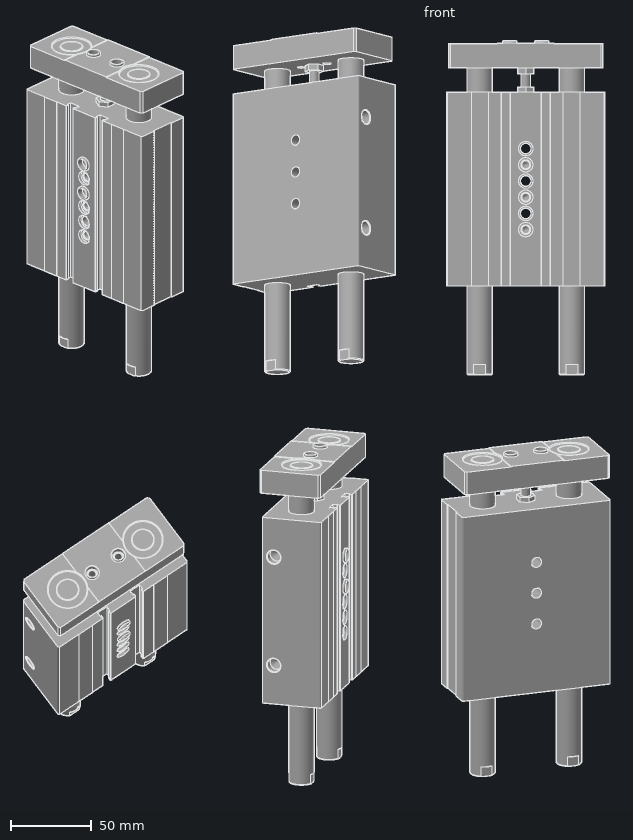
import cadquery as cq
import math


HOUSING_BOTTOM = 55.0
HOUSING_HEIGHT = 120.0
HOUSING_TOP = HOUSING_BOTTOM + HOUSING_HEIGHT
PLATE_GAP = 15.1
PLATE_BOTTOM = HOUSING_TOP + PLATE_GAP
SLEEVE_STANDOUT = 1.5
PLATE_TOP = 207 - SLEEVE_STANDOUT
PLATE_RAISE = 0.5
PLATE_SIDE_TOP = PLATE_TOP - PLATE_RAISE

HOUSING_WIDTH = 98.0
HOUSING_FRONT = -19.2
HOUSING_BACK = 19.2
HOUSING_DEPTH = HOUSING_BACK - HOUSING_FRONT
HOUSING_CORNER_RADIUS = 1.2
STRIP_INNER_X = 23.2
STRIP_OUTER_X = 33.5
STRIP_RAISE = 0.1
BAND_FRONT = HOUSING_FRONT + STRIP_RAISE
SIDE_GROOVE_WIDTH = 15.5
SIDE_GROOVE_DEPTH = 0.6

SLOT_X = 12.5
SLOT_OPENING = 5.4
SLOT_INNER_WIDTH = 7.0
SLOT_LIP = 2.0
SLOT_DEPTH = 5.0
SLOT_CHAMFER = 0.5

HOLE_COUNT = 6
HOLE_PITCH = 10.03
THREAD_DIAMETER = 5.0
THREAD_MOUTH_DIAMETER = 6.0
THREAD_DEPTH = 10.3
THROUGH_DIAMETER = 6.5
SLEEVED_HOLES = (0, 2)

SLEEVE_DIAMETER = 9.0
SLEEVE_BORE = 6.5
SEAT_DEPTH = 2.0

PORT_Y = 11.5
PORT_END_DISTANCE = 25.0
PORT_DIAMETER = 8.5
PORT_MOUTH_DIAMETER = 9.3
PORT_DEPTH = 6.2
DRILL_POINT_ANGLE = 118

ROD_X = 28.5
ROD_DIAMETER = 16.0
ROD_TENON_DIAMETER = 14.0
TENON_CHAMFER = 0.5
ROD_END_CHAMFER = 0.6
ROD_FLATS_SPAN = 14.0
ROD_FLATS_HEIGHT = 6.5

PLATE_WIDTH = 95.5
PLATE_FRONT = -18.0
PLATE_BACK = 21.1
PLATE_CHAMFER = 1.2
PLATE_RAISED_WIDTH = 35.2
ROD_RECESS_DIAMETER = 25.0
ROD_RECESS_FLOOR_DIAMETER = 24.0
ROD_RECESS_DEPTH = 0.6
ROD_RECESS_FLOOR = PLATE_SIDE_TOP - ROD_RECESS_DEPTH
TENON_STANDOUT = 0.5
TENON_TOP = ROD_RECESS_FLOOR + TENON_STANDOUT
PLATE_SLEEVE_X = 10.0
PISTON_ROD_DIAMETER = 6.0
HEX_ACROSS_FLATS = 10.0
LOCK_NUT_HEIGHT = 3.7
ROD_HEX_HEIGHT = 3.1


def upright_cylinder(x, diameter, bottom, top):
    """Cylinder along Z on the Y = 0 plane."""
    return cq.Workplane("XY", origin=(x, 0, bottom)).circle(diameter / 2).extrude(top - bottom)


def upright_block(width, front, back, bottom, top):
    """Block centred on X = 0 with given front and back faces."""
    block = cq.Workplane("XY").box(width, back - front, top - bottom, centered=(True, False, False))
    return block.translate((0, front, bottom))


def drilled_hole(diameter, depth):
    """Cutter from Z = 0 down: a straight bore and a drill point."""
    radius = diameter / 2
    point_height = radius / math.tan(math.radians(DRILL_POINT_ANGLE / 2))
    profile = (
        cq.Workplane("XZ")
        .moveTo(0, 0)
        .lineTo(radius, 0)
        .lineTo(radius, -depth)
        .lineTo(0, -depth - point_height)
        .close()
    )
    return profile.revolve(360, (0, 0, 0), (0, 1, 0))


def cone_cutter(lower_diameter, upper_diameter, height):
    """Truncated cone standing on Z = 0."""
    cone = cq.Solid.makeCone(lower_diameter / 2, upper_diameter / 2, height)
    return cq.Workplane("XY").add(cone)


def countersink(diameter, mouth_diameter):
    """45 degree cutter from a hole's diameter up to its mouth at Z = 0."""
    height = (mouth_diameter - diameter) / 2
    return cone_cutter(diameter, mouth_diameter, height).translate((0, 0, -height))


def front_hole_z(index):
    """Height of a hole in the front row, counted from the top."""
    middle = HOUSING_BOTTOM + HOUSING_HEIGHT / 2
    return middle + ((HOLE_COUNT - 1) / 2 - index) * HOLE_PITCH


def slot_cutter(x):
    """T-slot along the whole housing height."""
    slot_floor = HOUSING_FRONT + SLOT_DEPTH
    opening = upright_block(SLOT_OPENING, HOUSING_FRONT, slot_floor, HOUSING_BOTTOM, HOUSING_TOP)
    inner = upright_block(
        SLOT_INNER_WIDTH, HOUSING_FRONT + SLOT_LIP, slot_floor, HOUSING_BOTTOM, HOUSING_TOP
    )
    mouth = (
        cq.Workplane("XY", origin=(0, HOUSING_FRONT, HOUSING_BOTTOM))
        .moveTo(-SLOT_OPENING / 2 - SLOT_CHAMFER, 0)
        .lineTo(SLOT_OPENING / 2 + SLOT_CHAMFER, 0)
        .lineTo(SLOT_OPENING / 2, SLOT_CHAMFER)
        .lineTo(-SLOT_OPENING / 2, SLOT_CHAMFER)
        .close()
        .extrude(HOUSING_HEIGHT)
    )
    return opening.union(inner).union(mouth).translate((x, 0, 0))


def front_hole_cutter(index):
    """Sleeve seat with a through hole (even index) or a threaded blind hole (odd index)."""
    seat = cq.Workplane("XY").circle(SLEEVE_DIAMETER / 2).extrude(-SEAT_DEPTH)
    if index % 2 == 0:
        hole = cq.Workplane("XY").circle(THROUGH_DIAMETER / 2).extrude(-HOUSING_DEPTH)
    else:
        hole = drilled_hole(THREAD_DIAMETER, THREAD_DEPTH)
        hole = hole.union(countersink(THREAD_DIAMETER, THREAD_MOUTH_DIAMETER))
        hole = hole.translate((0, 0, -SEAT_DEPTH))
    cutter = seat.union(hole).rotate((0, 0, 0), (1, 0, 0), 90)
    return cutter.translate((0, HOUSING_FRONT, front_hole_z(index)))


def make_housing():
    body = upright_block(HOUSING_WIDTH, HOUSING_FRONT, HOUSING_BACK, HOUSING_BOTTOM, HOUSING_TOP)
    body = body.edges("|Z").fillet(HOUSING_CORNER_RADIUS)

    for side in (-1, 1):
        body = body.cut(slot_cutter(side * SLOT_X))
        for inner_x, outer_x in ((SLOT_X, STRIP_INNER_X), (STRIP_OUTER_X, HOUSING_WIDTH / 2)):
            band = upright_block(outer_x - inner_x, HOUSING_FRONT, BAND_FRONT, HOUSING_BOTTOM, HOUSING_TOP)
            body = body.cut(band.translate((side * (inner_x + outer_x) / 2, 0, 0)))
        body = body.cut(upright_cylinder(side * ROD_X, ROD_DIAMETER, HOUSING_BOTTOM, HOUSING_TOP))

    side_groove = upright_block(
        2 * SIDE_GROOVE_DEPTH, -SIDE_GROOVE_WIDTH / 2, SIDE_GROOVE_WIDTH / 2, HOUSING_BOTTOM, HOUSING_TOP
    )
    body = body.cut(side_groove.translate((HOUSING_WIDTH / 2, 0, 0)))

    for index in range(HOLE_COUNT):
        body = body.cut(front_hole_cutter(index))

    port = drilled_hole(PORT_DIAMETER, PORT_DEPTH).union(countersink(PORT_DIAMETER, PORT_MOUTH_DIAMETER))
    port = port.rotate((0, 0, 0), (0, 1, 0), -90)
    for port_z in (HOUSING_BOTTOM + PORT_END_DISTANCE, HOUSING_TOP - PORT_END_DISTANCE):
        body = body.cut(port.translate((-HOUSING_WIDTH / 2, PORT_Y, port_z)))
    return body


def make_yoke_plate():
    plate = upright_block(PLATE_WIDTH, PLATE_FRONT, PLATE_BACK, PLATE_BOTTOM, PLATE_SIDE_TOP)
    plate = plate.edges("|Z").chamfer(PLATE_CHAMFER)
    plate = plate.union(upright_block(PLATE_RAISED_WIDTH, PLATE_FRONT, PLATE_BACK, PLATE_BOTTOM, PLATE_TOP))

    for side in (-1, 1):
        recess = cone_cutter(ROD_RECESS_FLOOR_DIAMETER, ROD_RECESS_DIAMETER, ROD_RECESS_DEPTH)
        plate = plate.cut(recess.translate((side * ROD_X, 0, ROD_RECESS_FLOOR)))
        plate = plate.cut(upright_cylinder(side * ROD_X, ROD_RECESS_DIAMETER, PLATE_SIDE_TOP, PLATE_TOP))
        plate = plate.cut(upright_cylinder(side * ROD_X, ROD_TENON_DIAMETER, PLATE_BOTTOM, PLATE_TOP))
        sleeve_x = side * PLATE_SLEEVE_X
        plate = plate.cut(upright_cylinder(sleeve_x, SLEEVE_DIAMETER, PLATE_TOP - SEAT_DEPTH, PLATE_TOP))
        plate = plate.cut(upright_cylinder(sleeve_x, THREAD_DIAMETER, PLATE_BOTTOM, PLATE_TOP))
        thread_mouth = countersink(THREAD_DIAMETER, THREAD_MOUTH_DIAMETER)
        plate = plate.cut(thread_mouth.translate((sleeve_x, 0, PLATE_TOP - SEAT_DEPTH)))

    plate = plate.union(upright_cylinder(0, PISTON_ROD_DIAMETER, HOUSING_TOP, PLATE_BOTTOM))
    for bottom, height in ((HOUSING_TOP, ROD_HEX_HEIGHT), (PLATE_BOTTOM - LOCK_NUT_HEIGHT, LOCK_NUT_HEIGHT)):
        hexagon = cq.Workplane("XY").polygon(6, HEX_ACROSS_FLATS, circumscribed=True).extrude(height)
        plate = plate.union(hexagon.translate((0, 0, bottom)))
    return plate


def make_guide_rod(x):
    """Guide rod with wrench flats at its lower end and a tenon through the plate."""
    rod = upright_cylinder(x, ROD_DIAMETER, 0, PLATE_BOTTOM)
    rod = rod.faces("<Z").chamfer(ROD_END_CHAMFER)
    tenon = upright_cylinder(x, ROD_TENON_DIAMETER, PLATE_BOTTOM, TENON_TOP)
    rod = rod.union(tenon.faces(">Z").chamfer(TENON_CHAMFER))
    flats = cq.Workplane("XY").box(
        ROD_DIAMETER, ROD_FLATS_SPAN, ROD_FLATS_HEIGHT, centered=(True, True, False)
    )
    around = upright_cylinder(0, 2 * ROD_DIAMETER, 0, ROD_FLATS_HEIGHT)
    return rod.cut(around.cut(flats).translate((x, 0, 0)))


def make_sleeve():
    """Sleeve along Z with its fully rounded outer end SLEEVE_STANDOUT above Z = 0."""
    inner_radius = SLEEVE_BORE / 2
    outer_radius = SLEEVE_DIAMETER / 2
    middle_radius = (inner_radius + outer_radius) / 2
    shoulder_z = SLEEVE_STANDOUT - (outer_radius - inner_radius) / 2
    profile = (
        cq.Workplane("XZ")
        .moveTo(inner_radius, -SEAT_DEPTH)
        .lineTo(outer_radius, -SEAT_DEPTH)
        .lineTo(outer_radius, shoulder_z)
        .threePointArc((middle_radius, SLEEVE_STANDOUT), (inner_radius, shoulder_z))
        .close()
    )
    return profile.revolve(360, (0, 0, 0), (0, 1, 0))


housing = make_housing()
yoke_plate = make_yoke_plate()
guide_rods = [make_guide_rod(side * ROD_X) for side in (-1, 1)]
plate_sleeves = [make_sleeve().translate((side * PLATE_SLEEVE_X, 0, PLATE_TOP)) for side in (-1, 1)]
front_sleeves = [
    make_sleeve().rotate((0, 0, 0), (1, 0, 0), 90).translate((0, HOUSING_FRONT, front_hole_z(index)))
    for index in SLEEVED_HOLES
]

repeated_bodies = guide_rods + plate_sleeves + front_sleeves
result = cq.Compound.makeCompound([
    housing.val(),
    yoke_plate.val(),
    *[body.val() for body in repeated_bodies],
])